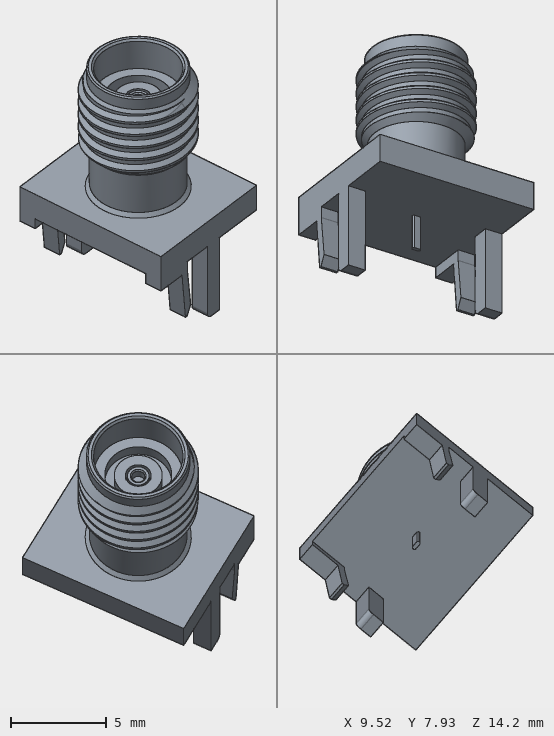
import cadquery as cq
import math

PLATE_X = 9.52
PLATE_Y = 7.93
PLATE_THICK = 1.62

FOOT_WIDTH = 1.04
TOTAL_HEIGHT = 14.23
BARREL_TOP = 7.85
LEG_BOTTOM = BARREL_TOP - TOTAL_HEIGHT
LEG_FRONT = -0.11
LEG_BACK = 0.88
LEG_ROUND = 0.33
PAD_BOTTOM = -2.26
CLIP_BOTTOM = -5.2
CLIP_BARB_Z = -4.61
CLIP_ROOT_INNER = -1.76
CLIP_ROOT_OUTER = -2.22
CLIP_BARB_Y = -1.5
CLIP_TIP_INNER = -1.8
CLIP_TIP_OUTER = -1.94

NECK_R = 2.56
FLARE = 0.21
NOSE_R = 2.7
NOSE_CHAMFER = 0.09
THREAD_START = 2.66
THREAD_END = 7.1

CREST_R = 3.15
ROOT_R = 2.87
PITCH = 0.8
CREST_WIDTH = 0.14
RIDGE_WIDTH = 0.54
CREST_HEIGHT_AT_X = 6.65
THREAD_OVERLAP = 0.07
CREST_CLEARANCE = 0.14

BORE_R = 2.33
BORE_DEPTH = 1.9
BORE_CHAMFER = 0.11
GROOVE_R = 1.75
GROOVE_DEPTH = 0.71
INSULATOR_R = 1.25
INSULATOR_DROP = 0.05
CONTACT_HOLE_R = 0.67
CONTACT_HOLE_DEPTH = 0.71

CONTACT_R = 0.57
CONTACT_DROP = 0.04
SOCKET_R = 0.34
SOCKET_CHAMFER = 0.07
SOCKET_DEPTH = 0.57
TAIL_WIDTH = 0.51
TAIL_DEPTH = 0.21
TAIL_CHAMFER = 0.07
TAIL_BOTTOM = -3.57



def revolve_profile(points):
    """Solid of revolution about Z from (radius, height) points."""
    return cq.Workplane("XZ").polyline(points).close().revolve(360, (0, 0, 0), (0, 1, 0))


def make_plate():
    return cq.Workplane("XY").rect(PLATE_X, PLATE_Y).extrude(-PLATE_THICK)


def make_foot(x_start):
    """Leg, sprung clip and support pad sharing one width along X."""
    leg_width = LEG_BACK - LEG_FRONT
    leg_length = -PLATE_THICK - LEG_BOTTOM
    leg = (
        cq.Workplane("XY")
        .box(FOOT_WIDTH, leg_width, leg_length, centered=False)
        .translate((x_start, LEG_FRONT, LEG_BOTTOM))
        .edges("<Y and <Z")
        .fillet(LEG_ROUND)
    )
    clip_and_pad = [
        (CLIP_ROOT_INNER, -PLATE_THICK),
        (CLIP_ROOT_INNER, PAD_BOTTOM),
        (CLIP_BARB_Y, CLIP_BARB_Z),
        (CLIP_TIP_INNER, CLIP_BOTTOM),
        (CLIP_TIP_OUTER, CLIP_BOTTOM),
        (CLIP_ROOT_OUTER, PAD_BOTTOM),
        (-PLATE_Y / 2, PAD_BOTTOM),
        (-PLATE_Y / 2, -PLATE_THICK),
    ]
    plane = cq.Workplane("YZ").workplane(offset=x_start)
    return leg.union(plane.polyline(clip_and_pad).close().extrude(FOOT_WIDTH))


def make_threaded_rod():
    """Root cylinder with a helical ridge running past both ends of the thread."""
    turns_below = math.ceil((CREST_HEIGHT_AT_X - THREAD_START) / PITCH)
    first_crest = CREST_HEIGHT_AT_X - turns_below * PITCH
    length = (turns_below + 1) * PITCH
    inner_r = ROOT_R - THREAD_OVERLAP
    path = cq.Wire.makeHelix(PITCH, length, inner_r, cq.Vector(0, 0, first_crest))
    flank_slope = (RIDGE_WIDTH - CREST_WIDTH) / 2 / (CREST_R - ROOT_R)
    half_crest = CREST_WIDTH / 2
    half_base = half_crest + flank_slope * (CREST_R - inner_r)
    profile = [
        (inner_r, first_crest - half_base),
        (CREST_R, first_crest - half_crest),
        (CREST_R, first_crest + half_crest),
        (inner_r, first_crest + half_base),
    ]
    ridge = cq.Workplane("XZ").polyline(profile).close().sweep(cq.Workplane(path), isFrenet=True)
    rod = cq.Workplane("XY").circle(ROOT_R).extrude(BARREL_TOP)
    return rod.union(ridge)


def make_barrel():
    """Threaded rod trimmed to the neck, the nose and the 45-degree cones that end the thread."""
    envelope_r = CREST_R + CREST_CLEARANCE
    envelope = revolve_profile([
        (0, 0),
        (NECK_R + FLARE, 0),
        (NECK_R, FLARE),
        (NECK_R, THREAD_START),
        (envelope_r, THREAD_START + envelope_r - NECK_R),
        (envelope_r, THREAD_END - (envelope_r - NOSE_R)),
        (NOSE_R, THREAD_END),
        (NOSE_R, BARREL_TOP - NOSE_CHAMFER),
        (NOSE_R - NOSE_CHAMFER, BARREL_TOP),
        (0, BARREL_TOP),
    ])
    return make_threaded_rod().intersect(envelope)


def make_bore():
    """Space inside the barrel around the insulator and the contact."""
    floor = BARREL_TOP - BORE_DEPTH
    groove_floor = floor - GROOVE_DEPTH
    insulator_top = floor - INSULATOR_DROP
    hole_floor = insulator_top - CONTACT_HOLE_DEPTH
    contact_top = insulator_top - CONTACT_DROP
    socket_floor = contact_top - SOCKET_DEPTH
    return revolve_profile([
        (0, socket_floor),
        (SOCKET_R, socket_floor),
        (SOCKET_R, contact_top - SOCKET_CHAMFER),
        (SOCKET_R + SOCKET_CHAMFER, contact_top),
        (CONTACT_R, contact_top),
        (CONTACT_R, hole_floor),
        (CONTACT_HOLE_R, hole_floor),
        (CONTACT_HOLE_R, insulator_top),
        (INSULATOR_R, insulator_top),
        (INSULATOR_R, groove_floor),
        (GROOVE_R, groove_floor),
        (GROOVE_R, floor),
        (BORE_R, floor),
        (BORE_R, BARREL_TOP - BORE_CHAMFER),
        (BORE_R + BORE_CHAMFER, BARREL_TOP),
        (0, BARREL_TOP),
    ])


def make_tail():
    length = -PLATE_THICK - TAIL_BOTTOM
    tail = cq.Workplane("XY").workplane(offset=TAIL_BOTTOM).rect(TAIL_WIDTH, TAIL_DEPTH).extrude(length)
    return tail.edges("|Z").chamfer(TAIL_CHAMFER)


body = make_barrel().cut(make_bore())
result = body.union(make_plate()).union(make_tail())
for foot_start in (-PLATE_X / 2, PLATE_X / 2 - FOOT_WIDTH):
    result = result.union(make_foot(foot_start))